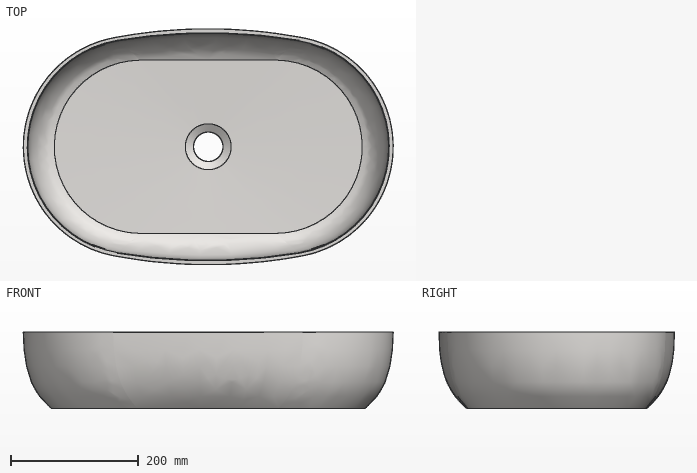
import cadquery as cq

HALF_LENGTH = 290.0
HALF_WIDTH = 185.0
HEIGHT = 120.0

RIM_END_CENTRE = 116.0
FLOOR_END_CENTRE = 105.5

OUTER_SECTIONS = [(0, 0), (26.0, 1.0), (54.0, 5.0), (81.0, 14.0), (101.5, 26.0), (HEIGHT, 44.0)]

RIM_WIDTH = 7.0
FLOOR_INSET = 49.0
FLOOR_EDGE_DEPTH = 102.5
INNER_SECTIONS = [
    (0, RIM_WIDTH),
    (26.0, 8.5),
    (54.0, 13.5),
    (78.5, 22.5),
    (94.0, 33.5),
    (100.0, 42.0),
    (FLOOR_EDGE_DEPTH, FLOOR_INSET),
]
RIM_FILLET = 1.0

DRAIN_DIAMETER = 46.0
DRAIN_MOUTH_DIAMETER = 72.0
DRAIN_CONE_DEPTH = 8.0
FLOOR_FALL = 4.0
FLOOR_DEPTH = FLOOR_EDGE_DEPTH + FLOOR_FALL


def oval(depth, inset):
    """Closed outline of four tangent arcs: two broad sides and two rounded ends."""
    half_length = HALF_LENGTH - inset
    half_width = HALF_WIDTH - inset
    blend = min(inset / FLOOR_INSET, 1)
    end_x = RIM_END_CENTRE + blend * (FLOOR_END_CENTRE - RIM_END_CENTRE)
    end_radius = half_length - end_x
    gap = half_width - end_radius
    side_y = (end_x**2 - gap**2) / (2 * gap)
    side_radius = half_width + side_y
    join_x = end_x * side_radius / (side_radius - end_radius)
    join_y = side_y * side_radius / (side_radius - end_radius) - side_y
    return (
        cq.Workplane("XY", origin=(0, 0, HEIGHT - depth))
        .moveTo(join_x, -join_y)
        .threePointArc((half_length, 0), (join_x, join_y))
        .threePointArc((0, half_width), (-join_x, join_y))
        .threePointArc((-half_length, 0), (-join_x, -join_y))
        .threePointArc((0, -half_width), (join_x, -join_y))
        .close()
        .val()
    )


def bowl_solid(sections):
    """Smooth solid through the ovals given as (depth, inset) pairs."""
    wires = [oval(depth, inset) for depth, inset in sections]
    return cq.Workplane(cq.Solid.makeLoft(wires, False))


def floor_cutter():
    """Shallow funnel that lets the floor fall from its edge to the drain mouth."""
    edge = oval(FLOOR_EDGE_DEPTH, FLOOR_INSET)
    mouth = cq.Wire.makeCircle(
        DRAIN_MOUTH_DIAMETER / 2, cq.Vector(0, 0, HEIGHT - FLOOR_DEPTH), cq.Vector(0, 0, 1)
    )
    return cq.Workplane(cq.Solid.makeLoft([edge, mouth], True))


def drain_cutter():
    """Through hole with a conical mouth."""
    mouth_z = HEIGHT - FLOOR_DEPTH
    hole_radius = DRAIN_DIAMETER / 2
    mouth_radius = DRAIN_MOUTH_DIAMETER / 2
    profile = [
        (0, 0),
        (hole_radius, 0),
        (hole_radius, mouth_z - DRAIN_CONE_DEPTH),
        (mouth_radius, mouth_z),
        (0, mouth_z),
    ]
    return cq.Workplane("XZ").polyline(profile).close().revolve(360, (0, 0), (0, 1))


shell = bowl_solid(OUTER_SECTIONS).cut(bowl_solid(INNER_SECTIONS))
basin = shell.cut(floor_cutter()).cut(drain_cutter())
result = basin.faces(">Z").edges().fillet(RIM_FILLET)